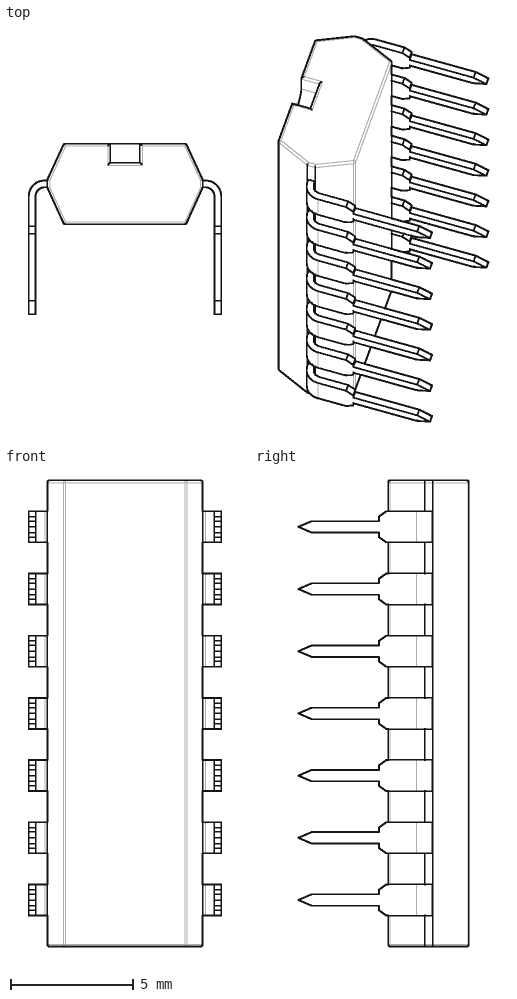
import cadquery as cq


body_length = 19.05
body_width = 6.35
body_depth = 3.3
face_width = 5.0
waist_top = -1.47
waist_height = 0.35
edge_radius = 0.1

notch_radius = 0.61
notch_straight = 0.91
notch_depth = 0.78

leads_per_side = 7
lead_pitch = body_length / (leads_per_side + 0.5)
lead_span = 7.87
lead_thickness = 0.29
lead_top = -1.5
bend_radius = 0.65
lead_embed = 0.38
shoulder_width = 1.28
shoulder_end_width = 0.84
pin_width = 0.48
shoulder_taper_y = -3.37
pin_start_y = -3.68
point_start_y = -6.42
lead_tip_y = -6.97


def make_body():
    """Hexagon-like prism with side flats, rounded edges and the index notch."""
    waist_bottom = waist_top - waist_height
    half_face = face_width / 2
    half_width = body_width / 2
    outline = [
        (-half_face, 0),
        (half_face, 0),
        (half_width, waist_top),
        (half_width, waist_bottom),
        (half_face, -body_depth),
        (-half_face, -body_depth),
        (-half_width, waist_bottom),
        (-half_width, waist_top),
    ]
    prism = cq.Workplane("XY").polyline(outline).close().extrude(body_length / 2, both=True)
    rounded_prism = prism.edges("|Z").edges("<Y or >Y").fillet(edge_radius)
    return rounded_prism.cut(make_notch()).faces("<Z or >Z").edges().fillet(edge_radius)


def make_notch():
    """U-shaped index recess, opening on the +Y face and the +Z end."""
    top_z = body_length / 2
    arc_z = top_z - notch_straight
    return (
        cq.Workplane("XZ")
        .moveTo(-notch_radius, top_z)
        .lineTo(-notch_radius, arc_z)
        .threePointArc((0, arc_z - notch_radius), (notch_radius, arc_z))
        .lineTo(notch_radius, top_z)
        .close()
        .extrude(notch_depth)
    )


def make_lead():
    """One lead on the +X side: a bent strip trimmed to the shouldered pin outline."""
    outer_x = lead_span / 2
    inner_x = outer_x - lead_thickness
    bend_x = outer_x - bend_radius
    root_x = body_width / 2 - lead_embed
    inner_radius = bend_radius - lead_thickness
    bend_y = lead_top - bend_radius
    strip = (
        cq.Workplane("XY")
        .moveTo(root_x, lead_top)
        .lineTo(bend_x, lead_top)
        .radiusArc((outer_x, bend_y), bend_radius)
        .lineTo(outer_x, lead_tip_y)
        .lineTo(inner_x, lead_tip_y)
        .lineTo(inner_x, bend_y)
        .radiusArc((bend_x, lead_top - lead_thickness), -inner_radius)
        .lineTo(root_x, lead_top - lead_thickness)
        .close()
        .extrude(shoulder_width / 2, both=True)
    )
    half_outline = [
        (lead_top, shoulder_width / 2),
        (shoulder_taper_y, shoulder_width / 2),
        (pin_start_y, shoulder_end_width / 2),
        (pin_start_y, pin_width / 2),
        (point_start_y, pin_width / 2),
    ]
    mirrored_half = [(y, -z) for y, z in reversed(half_outline)]
    outline = half_outline + [(lead_tip_y, 0)] + mirrored_half
    blank = cq.Workplane("YZ").polyline(outline).close().extrude(lead_span)
    return strip.intersect(blank)


result = make_body()

right_lead = make_lead()
left_lead = right_lead.mirror("YZ")
for index in range(leads_per_side):
    lead_z = (index - (leads_per_side - 1) / 2) * lead_pitch
    for lead in (left_lead, right_lead):
        result = result.union(lead.translate((0, 0, lead_z)))